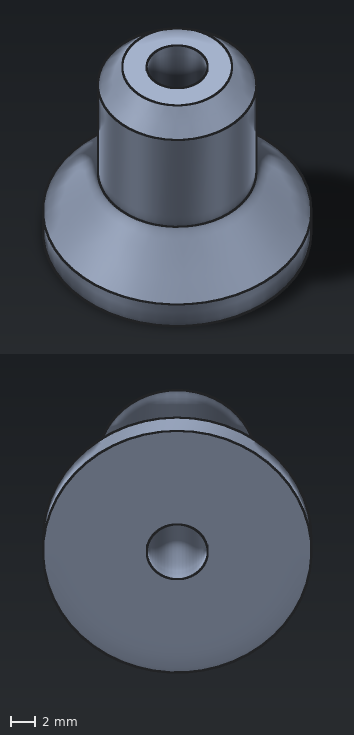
import cadquery as cq

flange_diameter = 22.0
stem_diameter = 13.0
bore_diameter = 5.0
total_height = 19.0
flange_height = 2.5
tip_chamfer = 2.0

flange_radius = flange_diameter / 2
stem_radius = stem_diameter / 2
flare_height = flange_radius - stem_radius

flange = cq.Workplane("XY").circle(flange_radius).extrude(flange_height)

flare_top = flange_height + flare_height
flare = (
    cq.Workplane("XZ")
    .moveTo(0, flange_height)
    .lineTo(flange_radius, flange_height)
    .lineTo(stem_radius, flare_top)
    .lineTo(0, flare_top)
    .close()
    .revolve(360, (0, 0, 0), (0, 1, 0))
)

stem = (
    cq.Workplane("XY")
    .circle(stem_radius)
    .extrude(total_height)
    .faces(">Z")
    .chamfer(tip_chamfer)
)

bore = cq.Workplane("XY").circle(bore_diameter / 2).extrude(total_height)

result = flange.union(flare).union(stem).cut(bore)